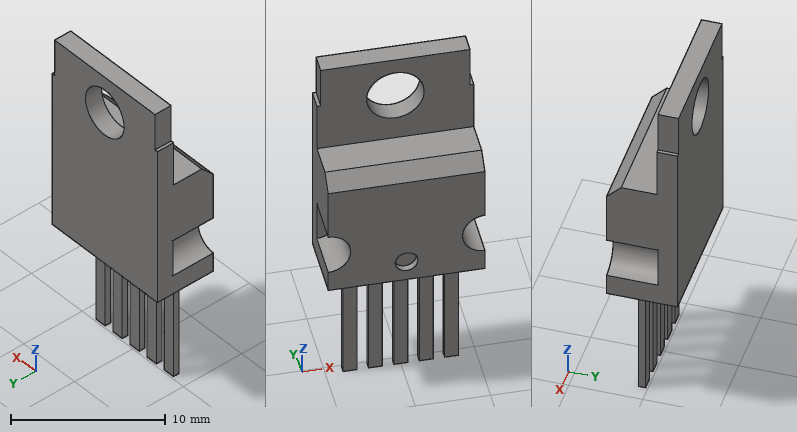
import cadquery as cq

total_height = 24.4
body_width = 10.4
body_depth = 4.8
body_bottom = 8.6
body_top = 17.8
front_chamfer = 1.0

tab_thickness = 1.4
tab_top_width = 9.9
tab_step_height = 21.4
tab_hole_diameter = 3.8

notch_radius = 1.5
notch_height = 11.61
notch_depth = 3.5

dimple_diameter = 1.5
dimple_height = 10.1
dimple_depth = 0.5

lead_count = 5
lead_pitch = 1.68
lead_width = 0.93
lead_thickness = 0.5
lead_back = 2.55


def block(width, back, front, bottom, top, x=0):
    """Box centred at x, spanning two depths from the back face and two heights."""
    return cq.Workplane("XY").box(
        width, front - back, top - bottom, centered=(True, False, False)
    ).translate((x, -front, bottom))


def cylinder(diameter, back, front, x, z):
    """Cylinder along Y between two depths from the back face."""
    return (
        cq.Workplane("XZ", origin=(x, -back, z))
        .circle(diameter / 2)
        .extrude(front - back)
    )


body = block(body_width, 0, body_depth, body_bottom, body_top)
body = body.faces(">Z").edges("<Y").chamfer(front_chamfer)

lower_tab = block(body_width, 0, tab_thickness, body_bottom, tab_step_height)
upper_tab = block(tab_top_width, 0, tab_thickness, body_bottom, total_height)
tab_hole = cylinder(tab_hole_diameter, 0, tab_thickness, 0, tab_step_height)
result = body.union(lower_tab).union(upper_tab).cut(tab_hole)

for side in (-1, 1):
    notch = cylinder(
        2 * notch_radius, body_depth - notch_depth, body_depth,
        side * body_width / 2, notch_height,
    )
    result = result.cut(notch)

result = result.cut(
    cylinder(dimple_diameter, body_depth - dimple_depth, body_depth, 0, dimple_height)
)

for index in range(lead_count):
    lead_x = (index - (lead_count - 1) / 2) * lead_pitch
    lead = block(lead_width, lead_back, lead_back + lead_thickness, 0, body_bottom, lead_x)
    result = result.union(lead)